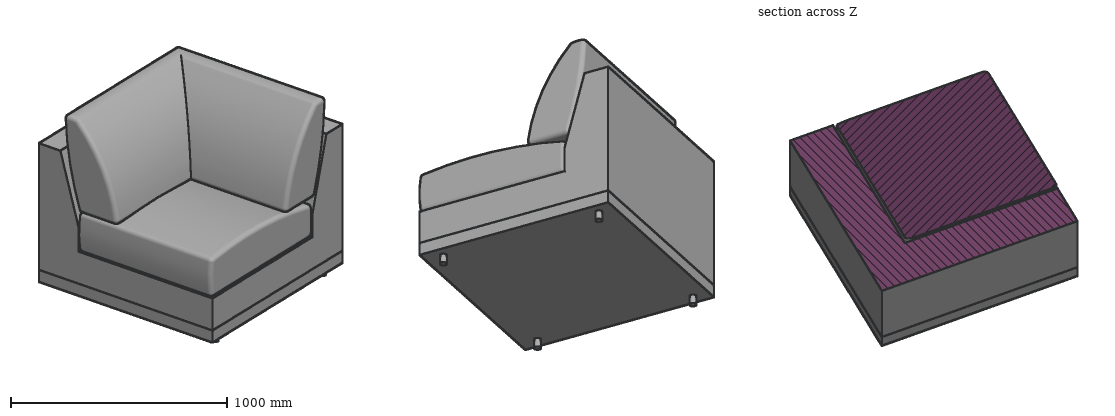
import cadquery as cq

WIDTH = 1006.0
DEPTH = 1000.0

FOOT_HEIGHT = 45.0
PLINTH_TOP = 109.0
BASE_TOP = 277.0
WALL_TOP = 770.0
CUSHION_TOP = 964.0

WALL_TOP_THICKNESS = 125.0
WALL_BASE_THICKNESS = 230.0
WALL_SLOPE_BOTTOM = 404.0

FOOT_DIAMETER = 31.0
FOOT_SIDE_INSET = 57.0
FOOT_FRONT_INSET = 96.0
FOOT_BACK_INSET = 81.0

EDGE_RADIUS = 22.0
SEAT_EDGE_HEIGHT = 478.0
SEAT_BACK_EDGE_HEIGHT = 444.0
SEAT_CREST_HEIGHT = 500.0
SEAT_CREST_DISTANCE = 308.0
SEAT_FRONT_BULGE = 10.0

BACK_TOP_CROWN = 5.0
BACK_TOP_REAR = 123.0
BACK_TOP_FRONT = 204.0
BACK_BOTTOM_REAR = 211.0
BACK_BOTTOM_FRONT = 437.0
BACK_REAR_BULGE = 18.0
BACK_FRONT_MIDDLE = (366.0, 730.0)
BACK_SIDE_SHIFT = 20.0


def make_foot(x, y):
    return cq.Workplane("XY").center(x, y).circle(FOOT_DIAMETER / 2).extrude(FOOT_HEIGHT)


def make_plinth():
    height = PLINTH_TOP - FOOT_HEIGHT
    return cq.Workplane("XY").box(WIDTH, DEPTH, height, centered=False).translate((0, 0, FOOT_HEIGHT))


def wall_section(plane):
    """Wall outline with the outer face on the plane's local zero and the thickness inward."""
    return plane.polyline([
        (0, BASE_TOP),
        (WALL_BASE_THICKNESS, BASE_TOP),
        (WALL_BASE_THICKNESS, WALL_SLOPE_BOTTOM),
        (WALL_TOP_THICKNESS, WALL_TOP),
        (0, WALL_TOP),
    ]).close()


def make_frame():
    """Base slab with a side wall along -X and a back wall along +Y."""
    base = cq.Workplane("XY").box(WIDTH, DEPTH, BASE_TOP - PLINTH_TOP, centered=False)
    base = base.translate((0, 0, PLINTH_TOP))
    side_wall = wall_section(cq.Workplane("XZ")).extrude(-DEPTH)
    back_plane = cq.Plane(origin=(0, DEPTH, 0), xDir=(0, -1, 0), normal=(-1, 0, 0))
    back_wall = wall_section(cq.Workplane(back_plane)).extrude(-WIDTH)
    return base.union(side_wall).union(back_wall)


def make_seat_cushion():
    """Block with a crowned top and a bulging front, rounded on every edge."""
    back = DEPTH - WALL_BASE_THICKNESS
    middle_height = (BASE_TOP + SEAT_EDGE_HEIGHT) / 2
    return (
        cq.Workplane("YZ", origin=(WALL_BASE_THICKNESS, 0, 0))
        .moveTo(back, BASE_TOP)
        .lineTo(0, BASE_TOP)
        .threePointArc((-SEAT_FRONT_BULGE, middle_height), (0, SEAT_EDGE_HEIGHT))
        .threePointArc((SEAT_CREST_DISTANCE, SEAT_CREST_HEIGHT), (back, SEAT_BACK_EDGE_HEIGHT))
        .close()
        .extrude(WIDTH - WALL_BASE_THICKNESS)
        .edges()
        .fillet(EDGE_RADIUS)
    )


def make_back_cushion(seat):
    """L-shaped cushion with a mitred corner, resting on the crowned seat cushion."""
    top_edge = CUSHION_TOP - BACK_TOP_CROWN
    top_middle = ((BACK_TOP_REAR + BACK_TOP_FRONT) / 2, CUSHION_TOP)
    rear_middle = (
        (BACK_TOP_REAR + BACK_BOTTOM_REAR) / 2 - BACK_REAR_BULGE,
        (top_edge + SEAT_EDGE_HEIGHT) / 2,
    )
    section = (
        cq.Workplane("XZ", origin=(BACK_SIDE_SHIFT, 0, 0))
        .moveTo(BACK_TOP_REAR, top_edge)
        .threePointArc(top_middle, (BACK_TOP_FRONT, top_edge))
        .threePointArc(BACK_FRONT_MIDDLE, (BACK_BOTTOM_FRONT, SEAT_EDGE_HEIGHT))
        .lineTo(BACK_BOTTOM_REAR, SEAT_EDGE_HEIGHT)
        .threePointArc(rear_middle, (BACK_TOP_REAR, top_edge))
        .close()
    )
    path = cq.Workplane("XY").polyline([
        (BACK_SIDE_SHIFT, 0),
        (BACK_SIDE_SHIFT, DEPTH),
        (WIDTH, DEPTH),
    ])
    cushion = section.sweep(path, transition="right")
    cushion = cushion.edges("not %ELLIPSE").fillet(EDGE_RADIUS)
    return cushion.cut(seat)


plinth = make_plinth()
frame = make_frame()
seat_cushion = make_seat_cushion()
back_cushion = make_back_cushion(seat_cushion)
feet = [
    make_foot(x, y)
    for x in (FOOT_SIDE_INSET, WIDTH - FOOT_SIDE_INSET)
    for y in (FOOT_FRONT_INSET, DEPTH - FOOT_BACK_INSET)
]

result = cq.Compound.makeCompound([
    plinth.val(),
    frame.val(),
    seat_cushion.val(),
    back_cushion.val(),
    *[foot.val() for foot in feet],
])